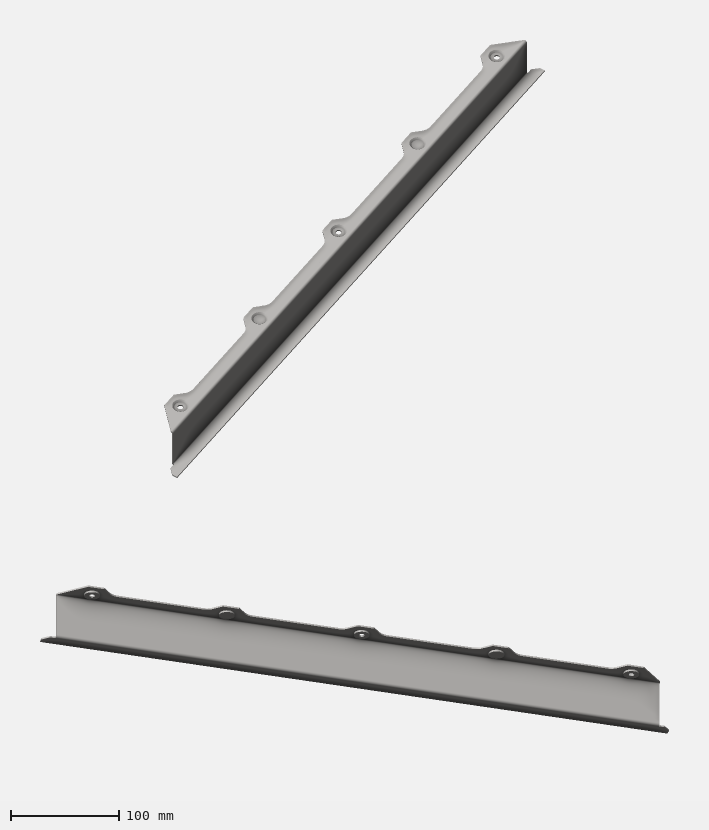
import cadquery as cq
import math

LENGTH = 608.0
WIDTH = 38.0
HEIGHT = 45.5
THICKNESS = 1.5
INNER_RADIUS = 0.9
OUTER_RADIUS = INNER_RADIUS + THICKNESS

TOP_FLANGE_WIDTH = 25.5
WEB_OUTER_X = TOP_FLANGE_WIDTH
BEND_END_X = WEB_OUTER_X + INNER_RADIUS
WEB_INNER_X = WEB_OUTER_X - THICKNESS
WEB_END_INSET = 11.5
WEB_HALF_LENGTH = LENGTH / 2 - WEB_END_INSET
BOTTOM_CHAMFER = 6.0

TAB_PITCH = 131.0
TAB_COUNT = 5
TAB_HALF_LENGTH = 8.0
TAB_DEPTH = 11.0
TAB_ROOT_RADIUS = 12.0

DIMPLE_X = 13.0
DIMPLE_MOUTH_DIAMETER = 15.0
DIMPLE_FLOOR_DIAMETER = 11.5
DIMPLE_DEPTH = 2.0
BOSS_DIAMETER = 14.5
HOLE_DIAMETER = 5.5
PIERCED_EVERY = 2

TAB_POSITIONS = [(i - (TAB_COUNT - 1) / 2) * TAB_PITCH for i in range(TAB_COUNT)]


def z_section():
    """Bent sheet with the full length and square ends."""
    corner = math.sqrt(0.5)
    top_centre = (WEB_INNER_X - INNER_RADIUS, HEIGHT - OUTER_RADIUS)
    bottom_centre = (BEND_END_X, OUTER_RADIUS)

    def top_bend(radius):
        return (top_centre[0] + radius * corner, top_centre[1] + radius * corner)

    def bottom_bend(radius):
        return (bottom_centre[0] - radius * corner, bottom_centre[1] - radius * corner)

    return (
        cq.Workplane("XZ")
        .moveTo(0, HEIGHT)
        .lineTo(top_centre[0], HEIGHT)
        .threePointArc(top_bend(OUTER_RADIUS), (WEB_OUTER_X, top_centre[1]))
        .lineTo(WEB_OUTER_X, bottom_centre[1])
        .threePointArc(bottom_bend(INNER_RADIUS), (bottom_centre[0], THICKNESS))
        .lineTo(WIDTH, THICKNESS)
        .lineTo(WIDTH, 0)
        .lineTo(bottom_centre[0], 0)
        .threePointArc(bottom_bend(OUTER_RADIUS), (WEB_INNER_X, bottom_centre[1]))
        .lineTo(WEB_INNER_X, top_centre[1])
        .threePointArc(top_bend(INNER_RADIUS), (top_centre[0], HEIGHT - THICKNESS))
        .lineTo(0, HEIGHT - THICKNESS)
        .close()
        .extrude(LENGTH / 2, both=True)
    )


def top_envelope():
    """Plan outline of the top flange, web and lower bend: mitred ends and a relieved free edge."""
    mitre = WEB_HALF_LENGTH - (TAB_POSITIONS[-1] + TAB_HALF_LENGTH)
    blank = (
        cq.Workplane("XY")
        .moveTo(0, -WEB_HALF_LENGTH + mitre)
        .lineTo(mitre, -WEB_HALF_LENGTH)
        .lineTo(BEND_END_X, -WEB_HALF_LENGTH)
        .lineTo(BEND_END_X, WEB_HALF_LENGTH)
        .lineTo(mitre, WEB_HALF_LENGTH)
        .lineTo(0, WEB_HALF_LENGTH - mitre)
        .close()
        .extrude(HEIGHT)
    )
    for lower, upper in zip(TAB_POSITIONS, TAB_POSITIONS[1:]):
        start = lower + TAB_HALF_LENGTH
        end = upper - TAB_HALF_LENGTH
        relief = (
            cq.Workplane("XY")
            .moveTo(0, start)
            .lineTo(TAB_DEPTH, start + TAB_DEPTH)
            .lineTo(TAB_DEPTH, end - TAB_DEPTH)
            .lineTo(0, end)
            .close()
            .extrude(HEIGHT)
            .edges("|Z and >X")
            .fillet(TAB_ROOT_RADIUS)
        )
        blank = blank.cut(relief)
    return blank


def bottom_envelope():
    """Plan outline of the bottom flange: both inner end corners cut at 45 degrees."""
    half = LENGTH / 2
    return (
        cq.Workplane("XY")
        .moveTo(BEND_END_X, -half + BOTTOM_CHAMFER)
        .lineTo(BEND_END_X + BOTTOM_CHAMFER, -half)
        .lineTo(WIDTH, -half)
        .lineTo(WIDTH, half)
        .lineTo(BEND_END_X + BOTTOM_CHAMFER, half)
        .lineTo(BEND_END_X, half - BOTTOM_CHAMFER)
        .close()
        .extrude(HEIGHT)
    )


def add_dimple(body, y, pierced):
    """Press a conical recess into the top flange, with its boss below."""
    floor_z = HEIGHT - DIMPLE_DEPTH
    boss = (
        cq.Workplane("XY", origin=(DIMPLE_X, y, floor_z - THICKNESS))
        .circle(BOSS_DIAMETER / 2)
        .extrude(THICKNESS + DIMPLE_DEPTH)
    )
    recess = (
        cq.Workplane("XY", origin=(DIMPLE_X, y, floor_z))
        .circle(DIMPLE_FLOOR_DIAMETER / 2)
        .workplane(offset=DIMPLE_DEPTH)
        .circle(DIMPLE_MOUTH_DIAMETER / 2)
        .loft()
    )
    body = body.union(boss).cut(recess)
    if pierced:
        hole = cq.Workplane("XY", origin=(DIMPLE_X, y, 0)).circle(HOLE_DIAMETER / 2).extrude(HEIGHT)
        body = body.cut(hole)
    return body


result = z_section().intersect(top_envelope().union(bottom_envelope()))
for index, tab_y in enumerate(TAB_POSITIONS):
    result = add_dimple(result, tab_y, pierced=index % PIERCED_EVERY == 0)